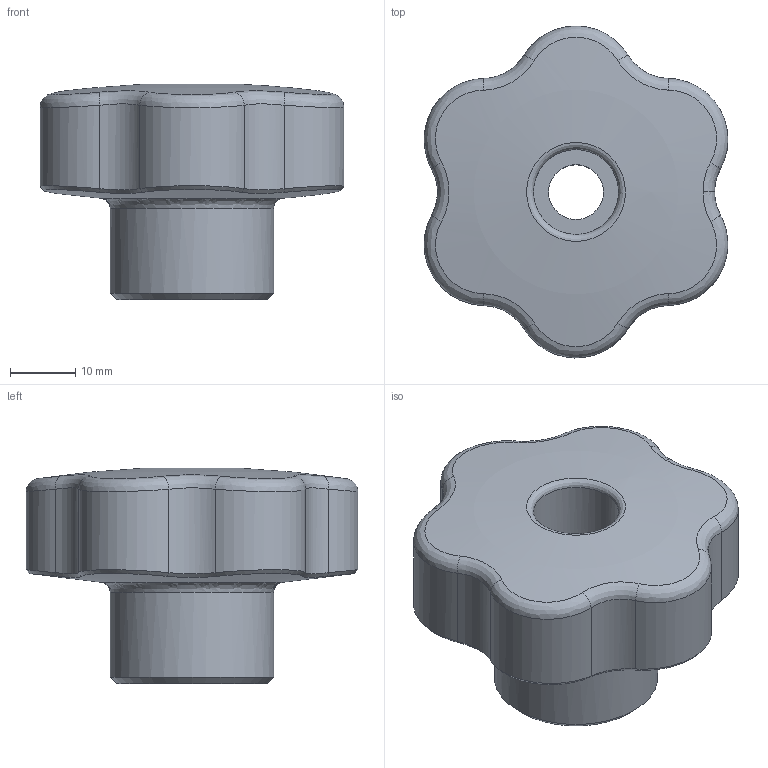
import cadquery as cq
import math

LOBES = 6
LOBE_CENTRE_RADIUS = 16.0
OUTER_RADIUS = 25.35
LOBE_RADIUS = OUTER_RADIUS - LOBE_CENTRE_RADIUS
VALLEY_CENTRE_RADIUS = 28.5

TOTAL_HEIGHT = 32.9
UNDERSIDE_HEIGHT = 15.5
CROWN_RADIUS = 160.0
UNDERSIDE_RADIUS = 160.0

HUB_DIAMETER = 25.0
HUB_CHAMFER = 1.0
HUB_FILLET = 1.5

THREAD_HOLE_DIAMETER = 8.38
COUNTERBORE_DIAMETER = 13.0
COUNTERBORE_DEPTH = 17.0
COUNTERBORE_FILLET = 1.0

TOP_RIM_FILLET = 2.0
BOTTOM_RIM_CHAMFER = 0.5

BLANK_MARGIN = 1.0
EDGE_SEARCH_MARGIN = 0.1


def polar(radius, angle):
    return (radius * math.cos(angle), radius * math.sin(angle))


def along(start, end, distance):
    """Point at a given distance from start on the line towards end."""
    share = distance / math.dist(start, end)
    return tuple(a + share * (b - a) for a, b in zip(start, end))


def lobed_outline():
    """Closed outline of convex lobes joined by tangent concave valleys; one lobe lies on +Y."""
    pitch = 2 * math.pi / LOBES
    outline = None
    for index in range(LOBES):
        lobe_angle = math.pi / 2 + index * pitch
        lobe_centre = polar(LOBE_CENTRE_RADIUS, lobe_angle)
        valley_before = polar(VALLEY_CENTRE_RADIUS, lobe_angle - pitch / 2)
        valley_after = polar(VALLEY_CENTRE_RADIUS, lobe_angle + pitch / 2)
        next_lobe_centre = polar(LOBE_CENTRE_RADIUS, lobe_angle + pitch)
        valley_radius = math.dist(lobe_centre, valley_after) - LOBE_RADIUS

        lobe_start = along(lobe_centre, valley_before, LOBE_RADIUS)
        lobe_end = along(lobe_centre, valley_after, LOBE_RADIUS)
        next_lobe_start = along(next_lobe_centre, valley_after, LOBE_RADIUS)
        valley_bottom = polar(VALLEY_CENTRE_RADIUS - valley_radius, lobe_angle + pitch / 2)

        if outline is None:
            outline = cq.Workplane("XY").moveTo(*lobe_start)
        outline = outline.threePointArc(polar(OUTER_RADIUS, lobe_angle), lobe_end)
        outline = outline.threePointArc(valley_bottom, next_lobe_start)
    return outline.close()


def sphere_rise(sphere_radius, radius):
    """Height between a sphere's pole and its circle of the given radius."""
    return sphere_radius - math.sqrt(sphere_radius**2 - radius**2)


def domed_blank():
    """Revolved blank with a domed top and a domed underside, wider than the lobes."""
    blank_radius = OUTER_RADIUS + BLANK_MARGIN
    mouth_radius = COUNTERBORE_DIAMETER / 2 + COUNTERBORE_FILLET
    crown_pole = TOTAL_HEIGHT + sphere_rise(CROWN_RADIUS, mouth_radius)
    hub_edge = HUB_DIAMETER / 2 + HUB_FILLET
    underside_pole = UNDERSIDE_HEIGHT - sphere_rise(UNDERSIDE_RADIUS, hub_edge)

    def crown_point(radius):
        return (radius, crown_pole - sphere_rise(CROWN_RADIUS, radius))

    def underside_point(radius):
        return (radius, underside_pole + sphere_rise(UNDERSIDE_RADIUS, radius))

    profile = (
        cq.Workplane("XZ")
        .moveTo(*underside_point(0))
        .threePointArc(underside_point(blank_radius / 2), underside_point(blank_radius))
        .lineTo(*crown_point(blank_radius))
        .threePointArc(crown_point(blank_radius / 2), crown_point(0))
        .close()
    )
    return profile.revolve(360, (0, 0, 0), (0, 1, 0))


def make_head():
    head = lobed_outline().extrude(2 * TOTAL_HEIGHT).intersect(domed_blank())
    head = head.faces(">Z").edges().fillet(TOP_RIM_FILLET)
    return head.faces("<Z").edges().chamfer(BOTTOM_RIM_CHAMFER)


def make_hub():
    inside_head = (UNDERSIDE_HEIGHT + TOTAL_HEIGHT) / 2
    hub = cq.Workplane("XY").circle(HUB_DIAMETER / 2).extrude(inside_head)
    return hub.faces("<Z").chamfer(HUB_CHAMFER)


def fillet_hub_joint(body):
    """Round the inside corner where the hub meets the underside."""
    near = UNDERSIDE_HEIGHT - HUB_FILLET
    reach = HUB_DIAMETER / 2 + EDGE_SEARCH_MARGIN
    corner = cq.selectors.BoxSelector((-reach, -reach, near), (reach, reach, near + 2 * HUB_FILLET), True)
    return body.edges(corner).fillet(HUB_FILLET)


def cut_bore(body):
    thread_hole = cq.Workplane("XY").circle(THREAD_HOLE_DIAMETER / 2).extrude(2 * TOTAL_HEIGHT)
    counterbore = (
        cq.Workplane("XY", origin=(0, 0, TOTAL_HEIGHT - COUNTERBORE_DEPTH))
        .circle(COUNTERBORE_DIAMETER / 2)
        .extrude(2 * COUNTERBORE_DEPTH)
    )
    bored = body.cut(thread_hole).cut(counterbore)
    return bored.edges(">Z").fillet(COUNTERBORE_FILLET)


knob = fillet_hub_joint(make_head().union(make_hub()))
result = cut_bore(knob)